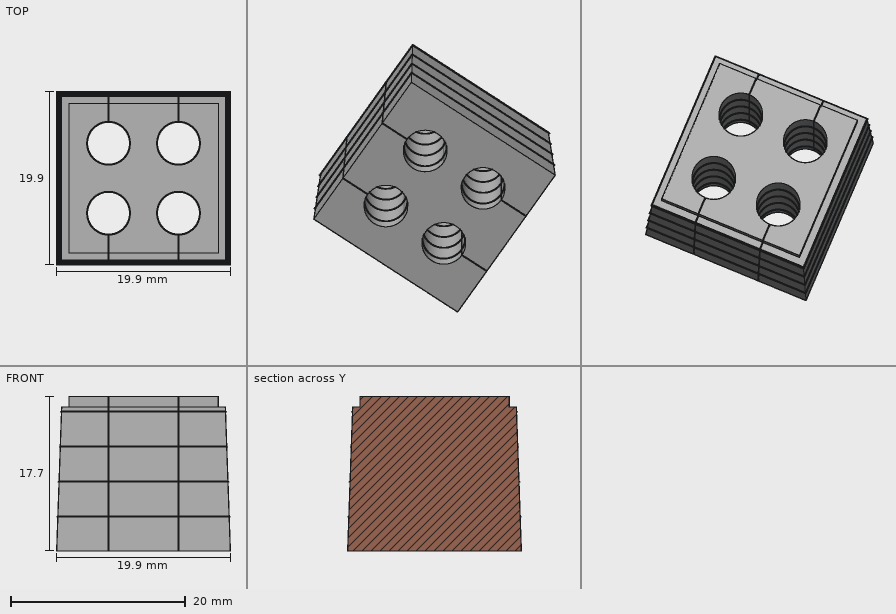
import cadquery as cq
import math

base_side = 19.9
body_height = 16.5
draft_angle = 2.0

cap_side = 17.1
total_height = 17.7

rib_pitch = 4.0
rib_count = 4
rib_height = 0.1
rib_projection = 0.1

hole_pitch = 8.0
hole_diameter = 5.0

lip_count = rib_count
lip_pitch = rib_pitch
first_lip_top = rib_pitch / 2
lip_height = rib_height
lip_projection = rib_projection

slit_width = 0.1


def body_side_at(z):
    """Side length of the drafted body at height z."""
    return base_side - 2 * z * math.tan(math.radians(draft_angle))


def make_frustum(bottom_side, bottom, top_side, top):
    """Centred solid tapering between two squares."""
    return (
        cq.Workplane("XY", origin=(0, 0, bottom))
        .rect(bottom_side, bottom_side)
        .workplane(offset=top - bottom)
        .rect(top_side, top_side)
        .loft(ruled=True)
    )


def make_body():
    return make_frustum(base_side, 0, body_side_at(body_height), body_height)


def make_cap():
    return make_frustum(cap_side, body_height, cap_side, total_height)


def make_rib(top):
    """Rib with a flat underside and an upper face sloping back into the body."""
    bottom = top - rib_height
    crest_side = body_side_at(bottom) + 2 * rib_projection
    return make_frustum(crest_side, bottom, body_side_at(top), top)


def make_hole(x, y):
    """Straight bore, ringed by lips with flat undersides and upper faces sloping back to the wall."""
    radius = hole_diameter / 2
    lip_radius = radius - lip_projection
    profile = cq.Workplane("YZ").lineTo(radius, 0)
    for index in range(lip_count):
        lip_top = first_lip_top + index * lip_pitch
        lip_bottom = lip_top - lip_height
        profile = (
            profile.lineTo(radius, lip_bottom)
            .lineTo(lip_radius, lip_bottom)
            .lineTo(radius, lip_top)
        )
    return (
        profile.lineTo(radius, total_height)
        .lineTo(0, total_height)
        .close()
        .revolve(360, (0, 0, 0), (0, 1, 0))
        .translate((x, y, 0))
    )


def make_slit(x, y):
    """Full-height slit from a hole centre out through the nearest front or back face."""
    length = base_side / 2
    direction = math.copysign(1, y)
    return (
        cq.Workplane("XY")
        .center(x, y + direction * length / 2)
        .rect(slit_width, length)
        .extrude(total_height)
    )


result = make_body().union(make_cap())

for level in range(1, rib_count + 1):
    result = result.union(make_rib(level * rib_pitch))

for hole_x in (-hole_pitch / 2, hole_pitch / 2):
    for hole_y in (-hole_pitch / 2, hole_pitch / 2):
        result = result.cut(make_hole(hole_x, hole_y))
        result = result.cut(make_slit(hole_x, hole_y))